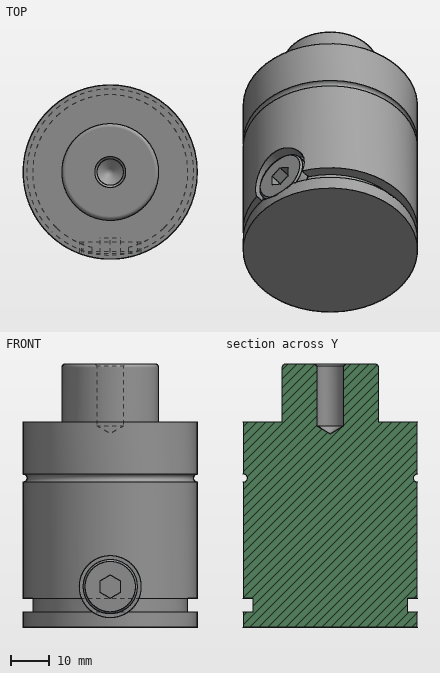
import cadquery as cq
import math

body_diameter = 45.0
body_height = 53.0
body_radius = body_diameter / 2

flange_height = 4.0
retaining_groove_width = 3.5
retaining_groove_diameter = 40.0

round_groove_radius = 1.0
round_groove_z = 38.5

rod_diameter = 25.0
total_height = 68.0
rod_edge_radius = 1.0
rod_hole_diameter = 6.8
rod_hole_depth = 16.0
rod_hole_mouth_diameter = 8.0
drill_point_angle = 118.0

screw_z = 10.5
screw_face_y = -21.0
screw_head_height = 3.0
screw_head_diameter = 14.0
screw_edge_chamfer = 0.5
screw_pocket_diameter = 16.0
hex_sides = 6
hex_corner_diameter = 6.0
hex_depth = 4.0


def make_body():
    """Cylinder with the wide retaining groove and the half-round groove."""
    body = cq.Workplane("XY").circle(body_radius).extrude(body_height)
    retaining_groove = (
        cq.Workplane("XY", origin=(0, 0, flange_height))
        .circle(body_radius)
        .circle(retaining_groove_diameter / 2)
        .extrude(retaining_groove_width)
    )
    round_groove = cq.Workplane(
        cq.Solid.makeTorus(body_radius, round_groove_radius, cq.Vector(0, 0, round_groove_z))
    )
    return body.cut(retaining_groove).cut(round_groove)


def make_rod():
    """Rod with a rounded top edge; it starts at the top face of the body."""
    return (
        cq.Workplane("XY", origin=(0, 0, body_height))
        .circle(rod_diameter / 2)
        .extrude(total_height - body_height)
        .faces(">Z")
        .edges()
        .fillet(rod_edge_radius)
    )


def make_rod_hole():
    """Blind hole with a 45 degree mouth chamfer and a conical drill point."""
    hole_radius = rod_hole_diameter / 2
    mouth_radius = rod_hole_mouth_diameter / 2
    mouth_bottom_z = total_height - (mouth_radius - hole_radius)
    hole_bottom_z = total_height - rod_hole_depth
    point_z = hole_bottom_z - hole_radius / math.tan(math.radians(drill_point_angle / 2))
    return (
        cq.Workplane("XZ")
        .moveTo(0, total_height)
        .lineTo(mouth_radius, total_height)
        .lineTo(hole_radius, mouth_bottom_z)
        .lineTo(hole_radius, hole_bottom_z)
        .lineTo(0, point_z)
        .close()
        .revolve()
    )


def screw_plane(y):
    """Plane across the screw axis at the given y, facing outward along -Y."""
    return cq.Workplane("XZ", origin=(0, y, screw_z))


def make_screw_pocket():
    """Round pocket from the seat of the screw head out past the body surface."""
    return (
        screw_plane(screw_face_y + screw_head_height)
        .circle(screw_pocket_diameter / 2)
        .extrude(body_radius)
    )


def make_screw_head():
    """Round head with a chamfered outer edge."""
    return (
        screw_plane(screw_face_y + screw_head_height)
        .circle(screw_head_diameter / 2)
        .extrude(screw_head_height)
        .faces("<Y")
        .edges()
        .chamfer(screw_edge_chamfer)
    )


def make_hex_socket():
    """Hexagon socket with one corner pointing up and one pointing down."""
    return (
        screw_plane(screw_face_y)
        .transformed(rotate=(0, 0, 90))
        .polygon(hex_sides, hex_corner_diameter)
        .extrude(-hex_depth)
    )


result = (
    make_body()
    .union(make_rod())
    .cut(make_rod_hole())
    .cut(make_screw_pocket())
    .union(make_screw_head())
    .cut(make_hex_socket())
)